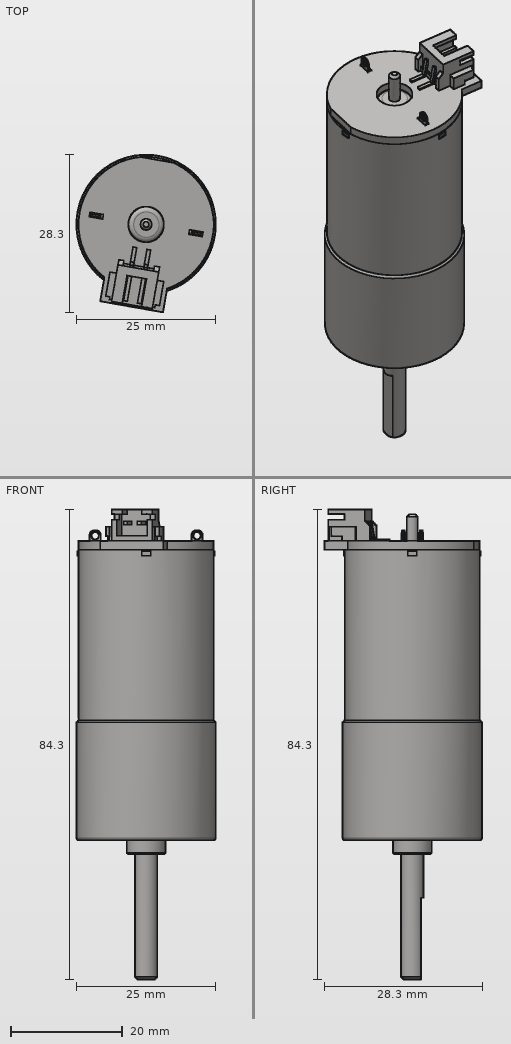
import cadquery as cq


overall_length = 84.3

gearbox_diameter = 25.0
gearbox_height = 21.6
gearbox_top_chamfer = 0.4
gearbox_bottom_fillet = 0.5
bush_diameter = 7.0
bush_height = 2.45
bush_chamfer = 0.25
shaft_radius = 2.0
shaft_length = 24.95
shaft_chamfer = 0.5
flat_length = 14.7
flat_depth = 0.4

can_radius = 12.1
can_height = 30.5
can_top = gearbox_height + can_height
lug_count = 4
lug_width = 1.6
lug_height = 0.85
lug_rise = 0.2
lug_gap = 0.25
boss_radius = 3.2
boss_height = 0.7
boss_fillet = 0.9
boss_root = 0.4
rear_shaft_radius = 1.0
rear_shaft_chamfer = 0.5
rear_shaft_rise = 4.8

terminal_place = 9.3
terminal_radius = 1.0
terminal_thickness = 0.3
terminal_hole_radius = 0.7
terminal_rise = 0.9
terminal_slot_inner_end = 7.8
terminal_slot_outer_end = terminal_place + terminal_radius
terminal_slot_width = 0.85

board_thickness = 1.6
board_top = can_top + board_thickness
board_angle = -10
tab_half_width = 5.7
tab_reach = 15.0
back_flat_place = 11.7

connector_height = overall_length - shaft_length - board_top
body_half_width = 3.7
front_y = -14.7
back_y = -8.0
ear_length = 0.9
ear_height = 3.6
ear_width = 0.9
rear_floor_y = -7.6
cavity_half_width = 2.8
cavity_back_y = -9.6
floor_thickness = 0.9
roof_thickness = 0.85
roof_slot_half_width = 1.8
side_slot_height = 1.0
side_slot_back_y = -11.7
wing_back_y = -9.5
wing_height = 2.5
wing_inner_width = 0.4
wing_inner_front_y = -14.4
wing_outer_width = 0.8
wing_outer_front_y = -13.9
wing_notch_back_y = -12.0
wing_notch_height = 0.85

pin_pitch = 2.5
pin_width = 0.7
pin_height = 3.2
pin_front_y = -14.2
foot_back_y = -4.4
foot_front_y = -7.1
foot_thickness = 0.25


def block(x_range, y_range, z_range):
    """Box between the given limits along each axis."""
    size = [high - low for low, high in (x_range, y_range, z_range)]
    return cq.Workplane().box(*size, centered=False).translate((x_range[0], y_range[0], z_range[0]))


def cylinder(radius, bottom, top):
    """Upright cylinder on the motor axis."""
    return cq.Workplane().workplane(offset=bottom).circle(radius).extrude(top - bottom)


def turn_to_board(shape):
    """Turn a shape from the board's own directions to its place on the motor."""
    return shape.rotate((0, 0, 0), (0, 0, 1), board_angle)


def make_output_shaft():
    shaft = cylinder(shaft_radius, -shaft_length, 0).faces("<Z").chamfer(shaft_chamfer)
    flat = block(
        (-shaft_radius, shaft_radius),
        (shaft_radius - flat_depth, shaft_radius),
        (-shaft_length, flat_length - shaft_length),
    )
    return shaft.cut(flat)


def make_gearbox():
    case = cylinder(gearbox_diameter / 2, 0, gearbox_height)
    case = case.faces(">Z").chamfer(gearbox_top_chamfer)
    case = case.faces("<Z").edges().fillet(gearbox_bottom_fillet)
    bush = cylinder(bush_diameter / 2, -bush_height, 0).faces("<Z").chamfer(bush_chamfer)
    bore = cylinder(shaft_radius, -bush_height, 0)
    return case.union(bush).cut(bore)


def make_terminals():
    """Two upright eyelets, one on each side of the motor."""
    eyelet_z = board_top + terminal_rise
    plate = block(
        (-terminal_radius, terminal_radius),
        (-terminal_thickness / 2, terminal_thickness / 2),
        (can_top, eyelet_z),
    )
    ring = cq.Workplane("XZ").circle(terminal_radius).extrude(terminal_thickness / 2, both=True)
    hole = cq.Workplane("XZ").circle(terminal_hole_radius).extrude(terminal_thickness, both=True)
    eyelet = plate.union(ring.translate((0, 0, eyelet_z))).cut(hole.translate((0, 0, eyelet_z)))
    eyelet = eyelet.translate((terminal_place, 0, 0))
    return turn_to_board(eyelet.union(eyelet.mirror("YZ")))


def make_motor():
    motor = cylinder(can_radius, gearbox_height, can_top)
    for number in range(lug_count):
        lug = block(
            (0, can_radius + lug_rise),
            (-lug_width / 2, lug_width / 2),
            (can_top - lug_gap - lug_height, can_top - lug_gap),
        )
        motor = motor.union(lug.rotate((0, 0, 0), (0, 0, 1), number * 360 / lug_count))
    boss = cylinder(boss_radius, can_top - boss_root, can_top + boss_height)
    boss = boss.faces(">Z").edges().fillet(boss_fillet)
    rear_shaft = cylinder(rear_shaft_radius, can_top, board_top + rear_shaft_rise)
    rear_shaft = rear_shaft.faces(">Z").chamfer(rear_shaft_chamfer)
    return motor.union(boss).union(rear_shaft).union(make_terminals())


def make_board():
    disc = cylinder(can_radius, can_top, board_top)
    tab = block((-tab_half_width, tab_half_width), (-tab_reach, 0), (can_top, board_top))
    beyond_flat = block(
        (-can_radius, can_radius), (back_flat_place, can_radius), (can_top, board_top)
    )
    slot = block(
        (terminal_slot_inner_end, terminal_slot_outer_end),
        (-terminal_slot_width / 2, terminal_slot_width / 2),
        (can_top, board_top),
    )
    boss_hole = cylinder(boss_radius, can_top, board_top)
    board = disc.union(tab).cut(beyond_flat).cut(slot).cut(slot.mirror("YZ")).cut(boss_hole)
    return turn_to_board(board)


def make_wing():
    """Stepped rib on the +X side of the connector, on a board top at Z = 0."""
    inner_face = body_half_width + wing_inner_width
    outer_face = inner_face + wing_outer_width
    inner = block((0, inner_face), (wing_inner_front_y, wing_back_y), (0, wing_height))
    outer = block((0, outer_face), (wing_outer_front_y, wing_back_y), (0, wing_height))
    notch = block(
        (inner_face, outer_face), (wing_outer_front_y, wing_notch_back_y), (0, wing_notch_height)
    )
    return inner.union(outer.cut(notch))


def make_connector_shell():
    """Connector moulding, on a board top at Z = 0."""
    roof_bottom = connector_height - roof_thickness
    rear_y = back_y + ear_length
    profile = [
        (front_y, 0),
        (rear_y, 0),
        (rear_y, ear_height - ear_length),
        (back_y, ear_height),
        (back_y, connector_height),
        (front_y, connector_height),
    ]
    shell = cq.Workplane("YZ").polyline(profile).close().extrude(body_half_width, both=True)
    wing = make_wing()
    shell = shell.union(wing).union(wing.mirror("YZ"))
    ear_inside = body_half_width - ear_width
    rear_recess = block(
        (-ear_inside, ear_inside), (back_y, rear_y), (floor_thickness, ear_height)
    )
    floor_end = block((-ear_inside, ear_inside), (rear_floor_y, rear_y), (0, floor_thickness))
    cavity = block(
        (-cavity_half_width, cavity_half_width),
        (front_y, cavity_back_y),
        (floor_thickness, roof_bottom),
    )
    roof_slot = block(
        (-roof_slot_half_width, roof_slot_half_width),
        (front_y, cavity_back_y),
        (roof_bottom, connector_height),
    )
    side_slot = block(
        (-body_half_width, body_half_width),
        (front_y, side_slot_back_y),
        (roof_bottom - side_slot_height, roof_bottom),
    )
    for opening in (rear_recess, floor_end, cavity, roof_slot, side_slot):
        shell = shell.cut(opening)
    return shell


def make_pin():
    """Contact with a straight front, a sloping bend and a foot on the board top at Z = 0."""
    half = pin_width / 2
    outline = [
        (pin_front_y, pin_height - half),
        (back_y, pin_height - half),
        (foot_front_y - half, 0),
        (foot_back_y, 0),
        (foot_back_y, foot_thickness),
        (foot_front_y, foot_thickness),
        (back_y + half, pin_height + half),
        (pin_front_y, pin_height + half),
    ]
    return cq.Workplane("YZ").polyline(outline).close().extrude(half, both=True)


def make_connector():
    connector = make_connector_shell()
    for side in (-1, 1):
        connector = connector.union(make_pin().translate((side * pin_pitch / 2, 0, 0)))
    return turn_to_board(connector.translate((0, 0, board_top)))


output_shaft = make_output_shaft()
gearbox = make_gearbox()
motor = make_motor()
board = make_board()
connector = make_connector()

result = cq.Compound.makeCompound(
    [output_shaft.val(), gearbox.val(), motor.val(), board.val(), connector.val()]
)